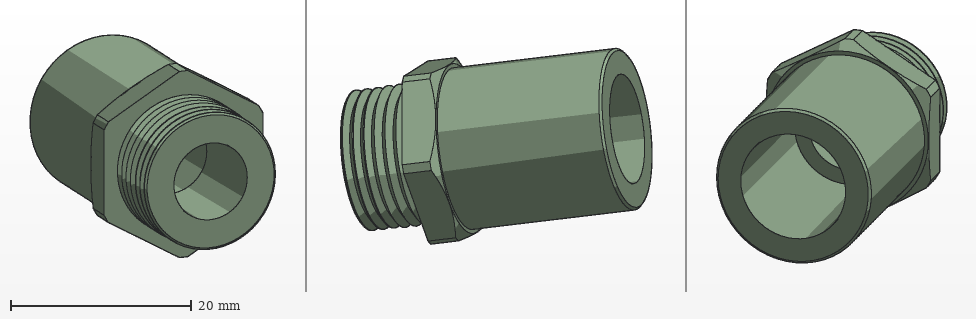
import cadquery as cq
import math

sleeve_length = 19.18
sleeve_radius = 9.04
sleeve_chamfer = 0.28

hex_sides = 6
hex_width = 19.05
hex_length = 3.94
hex_corner_radius = 10.715
hex_face_radius = 9.49
hex_cone_angle = 30

thread_length = 7.87
thread_pitch = 1.27
thread_root_radius = 7.04
thread_sharp_crest_radius = 7.95
thread_flat_crest_radius = 7.86
sharp_crest_count = 3
flat_crest_count = 3
first_root_offset = 0.63
thread_end_radius = 7.62

socket_radius = 6.12
socket_depth = sleeve_length
bore_radius = 4.4

hex_start = sleeve_length
hex_end = hex_start + hex_length
total_length = hex_end + thread_length


def revolve_profile(points):
    """Solid of revolution about X from a closed (x, radius) outline."""
    return cq.Workplane("XY").polyline(points).close().revolve(360, (0, 0, 0), (1, 0, 0))


def make_sleeve():
    sleeve = cq.Workplane("YZ").circle(sleeve_radius).extrude(sleeve_length)
    return sleeve.faces("<X").chamfer(sleeve_chamfer)


def make_hex_collar():
    corner_diameter = hex_width / math.cos(math.pi / hex_sides)
    prism = (
        cq.Workplane("YZ", origin=(hex_start, 0, 0))
        .transformed(rotate=(0, 0, 90))
        .polygon(hex_sides, corner_diameter)
        .extrude(hex_length)
    )
    cone_length = (hex_corner_radius - hex_face_radius) * math.tan(math.radians(hex_cone_angle))
    envelope = revolve_profile([
        (hex_start, 0),
        (hex_start, hex_face_radius),
        (hex_start + cone_length, hex_corner_radius),
        (hex_end, hex_corner_radius),
        (hex_end, 0),
    ])
    return prism.intersect(envelope)


def make_thread():
    half_pitch = thread_pitch / 2
    tooth_height = thread_sharp_crest_radius - thread_root_radius
    flank_run_per_height = half_pitch / tooth_height
    flat_half_width = (thread_sharp_crest_radius - thread_flat_crest_radius) * flank_run_per_height

    first_root = hex_end + first_root_offset
    start_radius = thread_root_radius + first_root_offset / flank_run_per_height
    points = [(hex_end, 0), (hex_end, start_radius)]
    for tooth in range(sharp_crest_count + flat_crest_count):
        root = first_root + tooth * thread_pitch
        crest = root + half_pitch
        points.append((root, thread_root_radius))
        if tooth < sharp_crest_count:
            points.append((crest, thread_sharp_crest_radius))
        else:
            points.append((crest - flat_half_width, thread_flat_crest_radius))
            points.append((crest + flat_half_width, thread_flat_crest_radius))
    points += [(total_length, thread_end_radius), (total_length, 0)]
    return revolve_profile(points)


def make_stepped_bore():
    socket = cq.Workplane("YZ").circle(socket_radius).extrude(socket_depth)
    bore = cq.Workplane("YZ").circle(bore_radius).extrude(total_length)
    return socket.union(bore)


result = make_sleeve().union(make_hex_collar()).union(make_thread()).cut(make_stepped_bore())